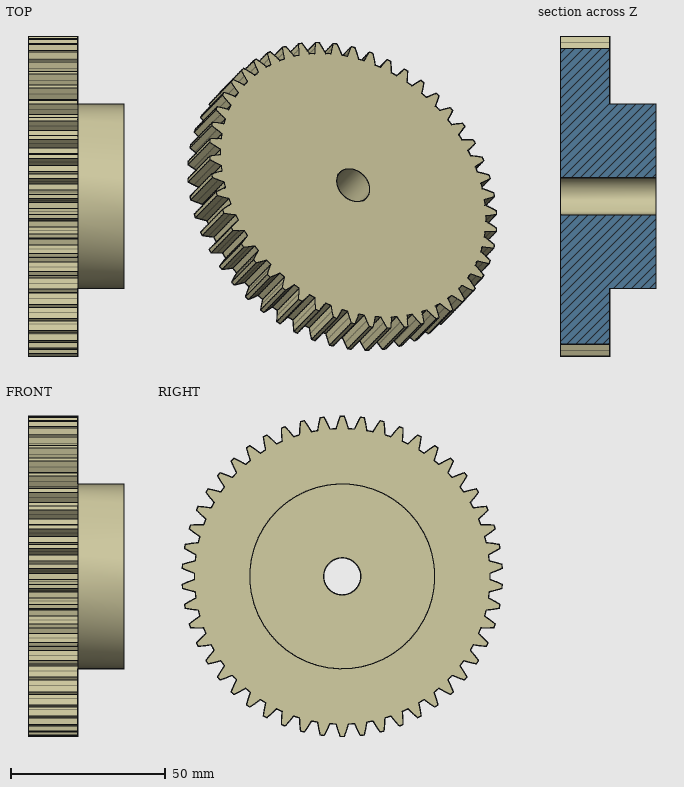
import cadquery as cq
import math

outer_diameter = 104.0
tooth_count = 50
gear_width = 16.0
hub_diameter = 60.0
hub_length = 15.0
bore_diameter = 12.0

module = outer_diameter / (tooth_count + 2)
tip_radius = outer_diameter / 2
pitch_radius = tip_radius - module
root_radius = pitch_radius - module
tooth_angle = 2 * math.pi / tooth_count

tip_thickness = 1.4
pitch_thickness = 2.8
root_thickness = 4.1


def polar(radius, angle):
    """Point on the YZ plane, with the angle measured from +Y toward +Z."""
    return (radius * math.cos(angle), radius * math.sin(angle))


def half_angle(thickness, radius):
    """Angle from the tooth centre line to its flank at the radius."""
    return math.asin(thickness / 2 / radius)


def gear_outline():
    """Closed tooth outline on the YZ plane, with one tooth centred on +Z."""
    root_half = half_angle(root_thickness, root_radius)
    pitch_half = half_angle(pitch_thickness, pitch_radius)
    tip_half = half_angle(tip_thickness, tip_radius)
    first_tooth = math.pi / 2

    outline = cq.Workplane("YZ").moveTo(*polar(root_radius, first_tooth - root_half))
    for tooth in range(tooth_count):
        center = first_tooth + tooth * tooth_angle
        gap_center = center + tooth_angle / 2
        next_root = center + tooth_angle - root_half
        outline = outline.lineTo(*polar(pitch_radius, center - pitch_half))
        outline = outline.lineTo(*polar(tip_radius, center - tip_half))
        outline = outline.threePointArc(polar(tip_radius, center), polar(tip_radius, center + tip_half))
        outline = outline.lineTo(*polar(pitch_radius, center + pitch_half))
        outline = outline.lineTo(*polar(root_radius, center + root_half))
        outline = outline.threePointArc(polar(root_radius, gap_center), polar(root_radius, next_root))
    return outline.close()


wheel = gear_outline().extrude(gear_width)

hub = cq.Workplane("YZ", origin=(gear_width, 0, 0)).circle(hub_diameter / 2).extrude(hub_length)

bore = cq.Workplane("YZ").circle(bore_diameter / 2).extrude(gear_width + hub_length)

result = wheel.union(hub).cut(bore)